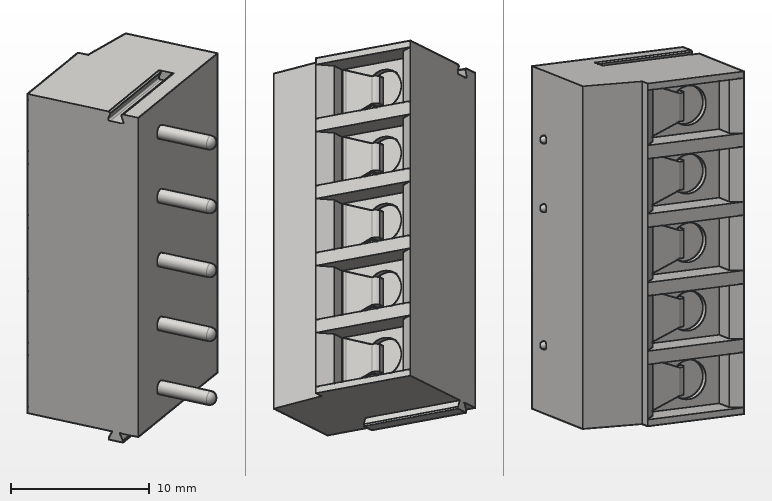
import cadquery as cq

total_height = 26.1
rail_height = 0.7
cell_count = 5
body_height = total_height - rail_height
pitch = body_height / cell_count
body_width = 9.0
body_depth = 12.5
step_y = 7.98
step_x = 0.8
slope_top_x = 1.55

wall = 0.5
cell_height = pitch - 2 * wall
cell_depth = 2.04
funnel_x = 0.97
cell_top_y = step_y - funnel_x
lip_x = 0.52
lip_y = 0.91
hole_radius = 1.45
hole_floor_x = 2.5
terminal_y = 3.47

tongue_x = 1.77
tongue_top_radius = 0.5
tongue_bend = 0.5
tongue_end_y = 3.84
tongue_tip_height = 2.1

pin_radius = 0.52
pin_end_x = 13.5
pin_tip_round = 0.5

joint_x = 7.17
rail_neck = 0.63
rail_foot = 1.15
rail_foot_edge = 0.15
groove_mouth = 1.17
groove_neck = 0.85
groove_neck_depth = 0.1
groove_foot = 1.35
groove_depth = 0.73
groove_round = 0.13
nub_radius = 0.31
nub_levels = (1, 3, 4)


def cell_center_z(index):
    return (index + 0.5) * pitch


def make_body():
    outline = [
        (0, 0),
        (body_width, 0),
        (body_width, body_depth),
        (slope_top_x, body_depth),
        (step_x, step_y),
        (0, step_y),
    ]
    return cq.Workplane("XY").polyline(outline).close().extrude(body_height)


def make_tongue():
    """Tapered clamp tongue with a rounded upper end and a bent lower end, centred on Z = 0."""
    taper_end_y = tongue_end_y + tongue_bend
    bend_drop = cell_depth - tongue_x
    bend_radius = (tongue_bend**2 + bend_drop**2) / (2 * bend_drop)
    side_profile = (
        cq.Workplane("XY")
        .workplane(offset=-cell_height / 2)
        .moveTo(hole_floor_x, tongue_end_y)
        .lineTo(cell_depth, tongue_end_y)
        .radiusArc((tongue_x, taper_end_y), bend_radius)
        .lineTo(tongue_x, cell_top_y - tongue_top_radius)
        .radiusArc((tongue_x + tongue_top_radius, cell_top_y), tongue_top_radius)
        .lineTo(hole_floor_x, cell_top_y)
        .close()
        .extrude(cell_height)
    )
    half_outline = [
        (tongue_end_y, tongue_tip_height / 2),
        (taper_end_y, tongue_tip_height / 2),
        (cell_top_y, cell_height / 2),
    ]
    mirrored = [(y, -z) for y, z in reversed(half_outline)]
    front_outline = cq.Workplane("YZ").polyline(half_outline + mirrored).close().extrude(hole_floor_x)
    return side_profile.intersect(front_outline)


def make_cell_cavity():
    """Empty space of one wire cell, centred on Z = 0."""
    profile = [
        (0, 0),
        (lip_x, lip_y),
        (cell_depth, lip_y),
        (cell_depth, cell_top_y),
        (funnel_x, cell_top_y),
        (0, step_y),
    ]
    pocket = (
        cq.Workplane("XY")
        .workplane(offset=-cell_height / 2)
        .polyline(profile)
        .close()
        .extrude(cell_height)
    )
    hole = (
        cq.Workplane("YZ")
        .workplane(offset=tongue_x)
        .center(terminal_y, 0)
        .circle(hole_radius)
        .extrude(hole_floor_x - tongue_x)
    )
    return pocket.union(hole).cut(make_tongue())


def make_pin():
    """Round solder pin with a domed tip, centred on Z = 0."""
    return (
        cq.Workplane("YZ")
        .workplane(offset=body_width)
        .center(terminal_y, 0)
        .circle(pin_radius)
        .extrude(pin_end_x - body_width)
        .faces(">X")
        .edges()
        .fillet(pin_tip_round)
    )


def make_joint_bar(half_outline):
    """Bar along Y, symmetric about joint_x, from (half width, Z) points."""
    right_side = [(joint_x + half, z) for half, z in half_outline]
    left_side = [(joint_x - half, z) for half, z in reversed(half_outline)]
    return cq.Workplane("XZ").polyline(right_side + left_side).close().extrude(-step_y)


def make_rail():
    return make_joint_bar([
        (rail_neck / 2, 0),
        (rail_foot / 2, rail_foot_edge - rail_height),
        (rail_foot / 2, -rail_height),
    ])


def make_groove():
    groove = make_joint_bar([
        (groove_mouth / 2, body_height),
        (groove_neck / 2, body_height - groove_neck_depth),
        (groove_foot / 2, body_height - groove_depth),
    ])
    return groove.faces("<Z").edges("|Y").fillet(groove_round)


result = make_body().union(make_rail()).cut(make_groove())

cavity = make_cell_cavity()
pin = make_pin()
for index in range(cell_count):
    offset = (0, 0, cell_center_z(index))
    result = result.cut(cavity.translate(offset))
    result = result.union(pin.translate(offset))

for level in nub_levels:
    nub = cq.Workplane("XY").sphere(nub_radius).translate((joint_x, body_depth, level * pitch))
    result = result.union(nub)